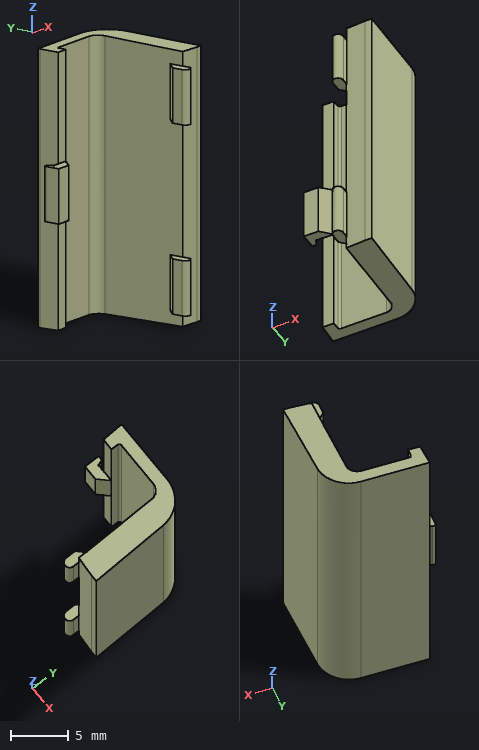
import cadquery as cq
import math

HEIGHT = 25.3
WIDTH = 10.93
DEPTH = 11.62

BACK_THICKNESS = 1.21
LIP_LEFT = 1.21
LIP_RIGHT = 2.45
LIP_DEPTH = 2.13
LIP_LAND = 0.2
WALL_INNER_X = 8.33
WALL_INNER_DEPTH = 10.48
WALL_OUTER_DEPTH = 10.6
END_STRIP = 0.68
OUTER_RADIUS = 3.0
INNER_RADIUS = 1.0
LIP_ROOT_RADIUS = 0.23

LIP_DRAFT = 3.0
WALL_INNER_DRAFT = 1.0
WALL_OUTER_DRAFT = 2.0
END_DRAFT = 1.0

FITTING_HEIGHT = 5.0
CLIP_DEPTH = 3.15
CLIP_TIP_DEPTH = 1.6
CLIP_TIP_WIDTH = 0.48
CLIP_TIP_BASE = 0.63
CLIP_TIP_ROUND = 0.13
CLIP_FLAT_WIDTH = 1.47
FINGER_THICKNESS = 1.0
FINGER_RIGHT = 8.35
FINGER_START_DEPTH = 9.1
FINGER_END_GAP = 1.5


def draft_shift(length, angle):
    return length * math.tan(math.radians(angle))


def prism(points, height):
    """Extrude a closed XY outline symmetrically about Z = 0."""
    outline = cq.Workplane("XY").polyline(points).close()
    return outline.extrude(height / 2, both=True)


def round_edge(body, x, y, radius):
    """Round the vertical edge nearest to the given XY place."""
    edge = body.edges("|Z").edges(cq.selectors.NearestToPointSelector((x, y, 0)))
    return edge.fillet(radius)


def make_cover():
    outer_corner_x = WIDTH - draft_shift(WALL_OUTER_DEPTH, WALL_OUTER_DRAFT)
    inner_corner_x = WALL_INNER_X - draft_shift(WALL_INNER_DEPTH - BACK_THICKNESS, WALL_INNER_DRAFT)
    lip_end_x = LIP_LEFT + draft_shift(LIP_DEPTH - LIP_LAND, LIP_DRAFT)
    cover = prism(
        [
            (LIP_LEFT, 0),
            (outer_corner_x, 0),
            (WIDTH, -WALL_OUTER_DEPTH),
            (WIDTH - END_STRIP, -WALL_OUTER_DEPTH),
            (WALL_INNER_X, -WALL_INNER_DEPTH),
            (inner_corner_x, -BACK_THICKNESS),
            (LIP_RIGHT, -BACK_THICKNESS),
            (LIP_RIGHT, -LIP_DEPTH),
            (lip_end_x, -LIP_DEPTH),
            (LIP_LEFT, -LIP_LAND),
        ],
        HEIGHT,
    )
    cover = round_edge(cover, outer_corner_x, 0, OUTER_RADIUS)
    cover = round_edge(cover, inner_corner_x, -BACK_THICKNESS, INNER_RADIUS)
    cover = round_edge(cover, LIP_RIGHT, -BACK_THICKNESS, LIP_ROOT_RADIUS)

    back_half = HEIGHT / 2
    front_half = back_half - draft_shift(DEPTH, END_DRAFT)
    envelope = (
        cq.Workplane("YZ")
        .polyline([(0, -back_half), (0, back_half), (-DEPTH, front_half), (-DEPTH, -front_half)])
        .close()
        .extrude(WIDTH)
    )
    return cover.intersect(envelope)


def make_clip():
    clip = prism(
        [
            (0, -CLIP_TIP_DEPTH),
            (CLIP_TIP_WIDTH, -CLIP_TIP_DEPTH),
            (CLIP_TIP_BASE, -LIP_DEPTH),
            (LIP_RIGHT, -LIP_DEPTH),
            (CLIP_FLAT_WIDTH, -CLIP_DEPTH),
            (0, -CLIP_DEPTH),
        ],
        FITTING_HEIGHT,
    )
    for x in (0, CLIP_TIP_WIDTH):
        clip = round_edge(clip, x, -CLIP_TIP_DEPTH, CLIP_TIP_ROUND)
    return clip


def make_finger(center_z):
    left = FINGER_RIGHT - FINGER_THICKNESS
    middle = FINGER_RIGHT - FINGER_THICKNESS / 2
    tip_start = -(DEPTH - FINGER_THICKNESS / 2)
    return (
        cq.Workplane("XY")
        .workplane(offset=center_z)
        .moveTo(FINGER_RIGHT, -FINGER_START_DEPTH)
        .lineTo(left, -FINGER_START_DEPTH - FINGER_THICKNESS)
        .lineTo(left, tip_start)
        .threePointArc((middle, -DEPTH), (FINGER_RIGHT, tip_start))
        .close()
        .extrude(FITTING_HEIGHT / 2, both=True)
    )


finger_z = HEIGHT / 2 - FINGER_END_GAP - FITTING_HEIGHT / 2
result = make_cover().union(make_clip())
for side in (-1, 1):
    result = result.union(make_finger(side * finger_z))